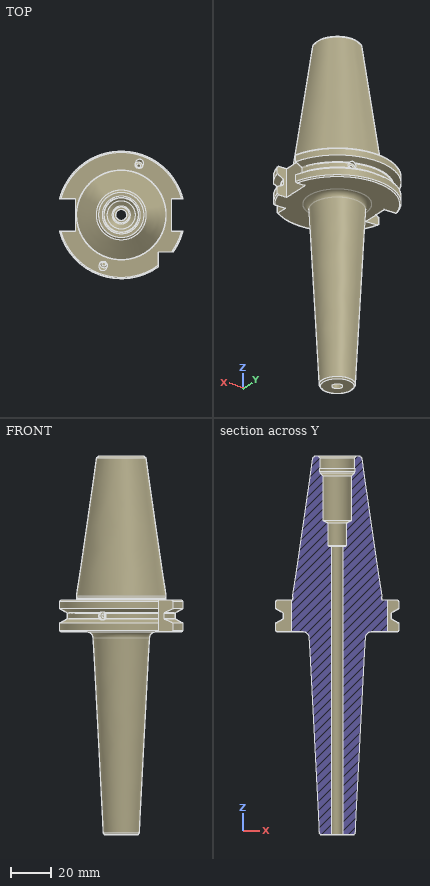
import cadquery as cq
import math

TAPER_LENGTH = 68.4
PROJECTION = 120.0
GAUGE_RADIUS = 44.45 / 2
TAPER_SLOPE = 7 / 24 / 2
TAPER_END_RADIUS = GAUGE_RADIUS - TAPER_LENGTH * TAPER_SLOPE
TAPER_END_CHAMFER = 1.0

NECK_TOP = -0.9
NECK_RADIUS = GAUGE_RADIUS - NECK_TOP * TAPER_SLOPE
RELIEF_TOP = -1.6
RELIEF_WIDTH = 1.0
RELIEF_DEPTH = 0.2

FLANGE_RADIUS = 63.55 / 2
FLANGE_TOP = -3.2
FLANGE_BOTTOM = -19.1
FLANGE_CHAMFER = 0.7
GROOVE_CENTRE = -11.1
GROOVE_FLOOR_RADIUS = 56.25 / 2
GROOVE_FLOOR_WIDTH = 3.0
GROOVE_FLANK_ANGLE = 30.0
GROOVE_CORNER_RADIUS = 0.4
GROOVE_FLANK_SLOPE = math.tan(math.radians(GROOVE_FLANK_ANGLE))
GROOVE_FLANK_HEIGHT = (FLANGE_RADIUS - GROOVE_FLOOR_RADIUS) * GROOVE_FLANK_SLOPE
GROOVE_FLOOR_TOP = GROOVE_CENTRE + GROOVE_FLOOR_WIDTH / 2
GROOVE_FLOOR_BOTTOM = GROOVE_CENTRE - GROOVE_FLOOR_WIDTH / 2

SLOT_WIDTH = 16.1
LEFT_SLOT_X = -22.8
RIGHT_SLOT_X = 25.0
NOTCH_OFFSET = 18.5
PORT_RADIUS = 4.0 / 2
PORT_DUCT_RADIUS = 2.0 / 2
PORT_MOUTH_DEPTH = 2.0
PORT_OVERRUN = 1.5
PORT_TILT = 30.0
PORT_CIRCLE_RADIUS = 54.0 / 2
PORT_ANGLES = (70.5, 250.5)

NOSE_END_RADIUS = 18.0 / 2
NOSE_ANGLE = 3.0
NOSE_SLOPE = math.tan(math.radians(NOSE_ANGLE))
NOSE_EDGE_HEIGHT = 1.0
NOSE_EDGE_WIDTH = 0.6
NOSE_FILLET = 3.0

MOUTH_RADIUS = 18.8 / 2
PILOT_RADIUS = 17.0 / 2
PILOT_DEPTH = 8.5
BORE_RELIEF_TOP_DEPTH = 6.2
BORE_RELIEF_BOTTOM_DEPTH = 7.7
BORE_RELIEF_RADIUS = PILOT_RADIUS + 0.25
THREAD_RADIUS = 14.0 / 2
THREAD_DEPTH = 32.0
COUNTERBORE_RADIUS = 9.0 / 2
COUNTERBORE_DEPTH = 45.0
COUNTERBORE_CHAMFER = 0.6
THROUGH_RADIUS = 5.4 / 2
BORE_CONE_ANGLE = 30.0


def nose_radius(z):
    """Radius of the tapered nose at height z."""
    return NOSE_END_RADIUS + (z + PROJECTION) * NOSE_SLOPE


def make_body():
    """Taper, neck, flange and nose turned as one profile."""
    chamfer_z = TAPER_LENGTH - TAPER_END_CHAMFER
    relief_bottom = RELIEF_TOP - RELIEF_WIDTH
    flank_angle = math.radians(GROOVE_FLANK_ANGLE)
    corner_tangent = GROOVE_CORNER_RADIUS * math.tan((math.pi / 2 - flank_angle) / 2)
    corner_outer_radius = GROOVE_FLOOR_RADIUS + corner_tangent * math.cos(flank_angle)
    corner_rise = corner_tangent * math.sin(flank_angle)
    nose_edge_z = -PROJECTION + NOSE_EDGE_HEIGHT
    fillet_z = FLANGE_BOTTOM - NOSE_FILLET
    fillet_radius = nose_radius(fillet_z)
    profile = (
        cq.Workplane("YZ")
        .moveTo(0, TAPER_LENGTH)
        .lineTo(TAPER_END_RADIUS - TAPER_END_CHAMFER, TAPER_LENGTH)
        .lineTo(GAUGE_RADIUS - chamfer_z * TAPER_SLOPE, chamfer_z)
        .lineTo(NECK_RADIUS, NECK_TOP)
        .lineTo(NECK_RADIUS, RELIEF_TOP)
        .lineTo(NECK_RADIUS - RELIEF_DEPTH, RELIEF_TOP - RELIEF_DEPTH)
        .lineTo(NECK_RADIUS - RELIEF_DEPTH, relief_bottom + RELIEF_DEPTH)
        .lineTo(NECK_RADIUS, relief_bottom)
        .lineTo(NECK_RADIUS, FLANGE_TOP)
        .lineTo(FLANGE_RADIUS - FLANGE_CHAMFER, FLANGE_TOP)
        .lineTo(FLANGE_RADIUS, FLANGE_TOP - FLANGE_CHAMFER)
        .lineTo(FLANGE_RADIUS, GROOVE_FLOOR_TOP + GROOVE_FLANK_HEIGHT)
        .lineTo(corner_outer_radius, GROOVE_FLOOR_TOP + corner_rise)
        .radiusArc((GROOVE_FLOOR_RADIUS, GROOVE_FLOOR_TOP - corner_tangent), -GROOVE_CORNER_RADIUS)
        .lineTo(GROOVE_FLOOR_RADIUS, GROOVE_FLOOR_BOTTOM + corner_tangent)
        .radiusArc((corner_outer_radius, GROOVE_FLOOR_BOTTOM - corner_rise), -GROOVE_CORNER_RADIUS)
        .lineTo(FLANGE_RADIUS, GROOVE_FLOOR_BOTTOM - GROOVE_FLANK_HEIGHT)
        .lineTo(FLANGE_RADIUS, FLANGE_BOTTOM + FLANGE_CHAMFER)
        .lineTo(FLANGE_RADIUS - FLANGE_CHAMFER, FLANGE_BOTTOM)
        .lineTo(fillet_radius + NOSE_FILLET, FLANGE_BOTTOM)
        .radiusArc((fillet_radius, fillet_z), -NOSE_FILLET)
        .lineTo(nose_radius(nose_edge_z), nose_edge_z)
        .lineTo(NOSE_END_RADIUS - NOSE_EDGE_WIDTH, -PROJECTION)
        .lineTo(0, -PROJECTION)
        .close()
    )
    return profile.revolve(360, (0, 0, 0), (0, 1, 0))


def make_bore():
    """Pilot bore with a relief groove, thread bore and counterbore above a through hole."""
    cone = math.tan(math.radians(BORE_CONE_ANGLE))
    mouth_depth = MOUTH_RADIUS - PILOT_RADIUS
    pilot_cone_end = PILOT_DEPTH + (PILOT_RADIUS - THREAD_RADIUS)
    thread_cone_end = THREAD_DEPTH + (THREAD_RADIUS - COUNTERBORE_RADIUS) * cone
    profile = (
        cq.Workplane("YZ")
        .moveTo(0, TAPER_LENGTH)
        .lineTo(MOUTH_RADIUS, TAPER_LENGTH)
        .lineTo(PILOT_RADIUS, TAPER_LENGTH - mouth_depth)
        .lineTo(PILOT_RADIUS, TAPER_LENGTH - BORE_RELIEF_TOP_DEPTH)
        .lineTo(BORE_RELIEF_RADIUS, TAPER_LENGTH - BORE_RELIEF_TOP_DEPTH)
        .lineTo(BORE_RELIEF_RADIUS, TAPER_LENGTH - BORE_RELIEF_BOTTOM_DEPTH)
        .lineTo(PILOT_RADIUS, TAPER_LENGTH - BORE_RELIEF_BOTTOM_DEPTH)
        .lineTo(PILOT_RADIUS, TAPER_LENGTH - PILOT_DEPTH)
        .lineTo(THREAD_RADIUS, TAPER_LENGTH - pilot_cone_end)
        .lineTo(THREAD_RADIUS, TAPER_LENGTH - THREAD_DEPTH)
        .lineTo(COUNTERBORE_RADIUS, TAPER_LENGTH - thread_cone_end)
        .lineTo(COUNTERBORE_RADIUS, TAPER_LENGTH - COUNTERBORE_DEPTH + COUNTERBORE_CHAMFER)
        .lineTo(COUNTERBORE_RADIUS - COUNTERBORE_CHAMFER, TAPER_LENGTH - COUNTERBORE_DEPTH)
        .lineTo(THROUGH_RADIUS, TAPER_LENGTH - COUNTERBORE_DEPTH)
        .lineTo(THROUGH_RADIUS, -PROJECTION)
        .lineTo(0, -PROJECTION)
        .close()
    )
    return profile.revolve(360, (0, 0, 0), (0, 1, 0))


def flange_block(x_min, x_max, y_min, y_max):
    """Cutting block over the full flange thickness."""
    height = FLANGE_TOP - FLANGE_BOTTOM
    block = cq.Workplane("XY").box(x_max - x_min, y_max - y_min, height, centered=False)
    return block.translate((x_min, y_min, FLANGE_BOTTOM))


def make_flange_cuts():
    """Two drive slots of unequal depth and the corner notch."""
    half_slot = SLOT_WIDTH / 2
    left_slot = flange_block(-FLANGE_RADIUS, LEFT_SLOT_X, -half_slot, half_slot)
    right_slot = flange_block(RIGHT_SLOT_X, FLANGE_RADIUS, -half_slot, half_slot)
    notch = flange_block(NOTCH_OFFSET, FLANGE_RADIUS, -FLANGE_RADIUS, -NOTCH_OFFSET)
    return left_slot.union(right_slot).union(notch)


def stepped_hole(start, direction, total_depth):
    """Port with a wide mouth and a narrow continuation, open a little above its start."""
    open_start = start - direction * PORT_OVERRUN
    mouth = cq.Solid.makeCylinder(PORT_RADIUS, PORT_MOUTH_DEPTH + PORT_OVERRUN, open_start, direction)
    duct = cq.Solid.makeCylinder(PORT_DUCT_RADIUS, total_depth, start, direction)
    return cq.Workplane(mouth).union(cq.Workplane(duct))


def make_port(angle):
    """Inclined port from the flange top meeting a radial port from the groove floor."""
    tilt = math.radians(PORT_TILT)
    inclined_start = cq.Vector(PORT_CIRCLE_RADIUS, 0, FLANGE_TOP)
    inclined_direction = cq.Vector(-math.sin(tilt), 0, -math.cos(tilt))
    drop = FLANGE_TOP - GROOVE_CENTRE
    inclined_length = drop / math.cos(tilt)
    meeting_radius = PORT_CIRCLE_RADIUS - drop * math.tan(tilt)
    inclined = stepped_hole(inclined_start, inclined_direction, inclined_length)

    radial_start = cq.Vector(GROOVE_FLOOR_RADIUS, 0, GROOVE_CENTRE)
    radial_length = GROOVE_FLOOR_RADIUS - meeting_radius
    radial = stepped_hole(radial_start, cq.Vector(-1, 0, 0), radial_length)
    return inclined.union(radial).rotate((0, 0, 0), (0, 0, 1), angle)


result = make_body().cut(make_bore()).cut(make_flange_cuts())
for port_angle in PORT_ANGLES:
    result = result.cut(make_port(port_angle))